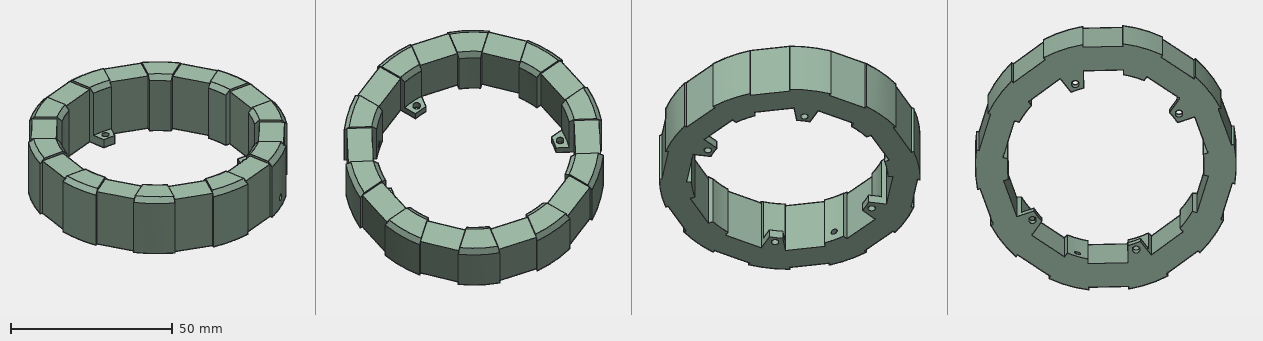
import cadquery as cq
import math

segment_count = 10
segment_angle = 360 / segment_count
outer_radius = 40.4
inner_radius = 30.5
height = 20.0
chamfer = 1.5

panel_width = 12.4
panel_outer = 39.15
panel_inner = 31.4
panel_drop = 0.7
panel_height = height - panel_drop

tab_angles = [segment_angle, 180 - segment_angle, 180 + segment_angle, -segment_angle]
tab_inner_radius = 26.5
tab_height = 3.0
tab_hole_diameter = 2.3
tab_hole_radius = 28.55

wire_hole_diameter = 2.0
wire_hole_height = 3.55


def turn(body, angle):
    """Turn a body about the ring axis."""
    return body.rotate((0, 0, 0), (0, 0, 1), angle)


def block_wedge():
    """Wedge along +X bounded by the end planes of the two neighbouring panels."""
    half_angle = math.radians(segment_angle / 2)
    apex = panel_width / 2 / math.sin(half_angle)
    far = outer_radius + chamfer
    half_width = (far - apex) * math.tan(half_angle)
    points = [(apex, 0), (far, -half_width), (far, half_width)]
    return cq.Workplane("XY").polyline(points).close().extrude(height)


def make_block():
    """Curved block with its outer and inner top edges chamfered."""
    profile = [
        (inner_radius, 0),
        (outer_radius, 0),
        (outer_radius, height - chamfer),
        (outer_radius - chamfer, height),
        (inner_radius + chamfer, height),
        (inner_radius, height - chamfer),
    ]
    ring = cq.Workplane("XZ").polyline(profile).close().revolve(360, (0, 0), (0, 1))
    return ring.intersect(block_wedge())


def make_panel():
    """Flat panel along +X."""
    depth = panel_outer - panel_inner
    middle = (panel_outer + panel_inner) / 2
    return cq.Workplane("XY").center(middle, 0).rect(depth, panel_width).extrude(panel_height)


def make_tab():
    """Tab with a vertical screw hole, reaching inward from a block."""
    tab_outer_radius = (inner_radius + outer_radius) / 2
    ring = cq.Workplane("XY").circle(tab_outer_radius).circle(tab_inner_radius).extrude(tab_height)
    hole = cq.Workplane("XY").center(tab_hole_radius, 0).circle(tab_hole_diameter / 2).extrude(tab_height)
    return ring.intersect(block_wedge()).cut(hole)


def make_wire_hole():
    """Cutter running along +X through the whole block."""
    return (
        cq.Workplane("YZ")
        .center(0, wire_hole_height)
        .circle(wire_hole_diameter / 2)
        .extrude(outer_radius + chamfer)
    )


block = make_block()
panel = make_panel()
tab = make_tab()

result = cq.Workplane("XY")
for index in range(segment_count):
    angle = index * segment_angle
    result = result.union(turn(block, angle))
    result = result.union(turn(panel, angle + segment_angle / 2))

for angle in tab_angles:
    result = result.union(turn(tab, angle))

result = result.cut(make_wire_hole())